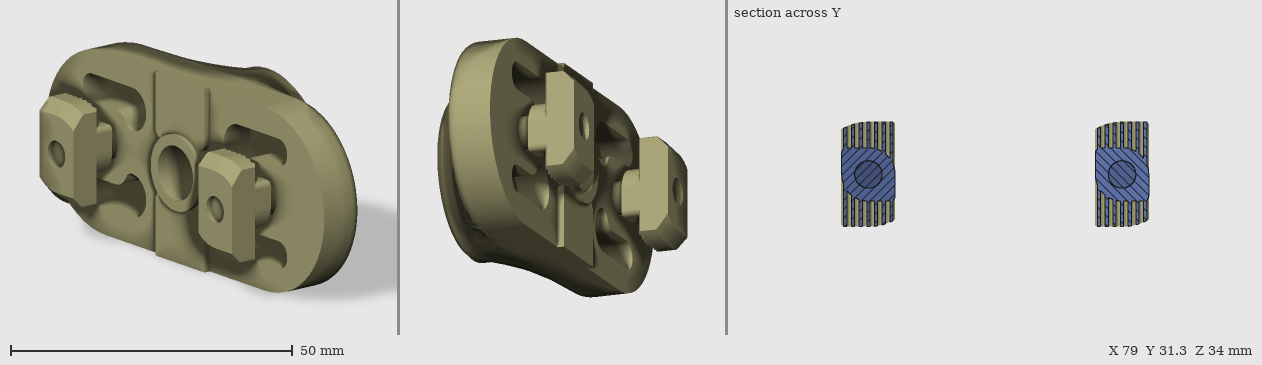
import cadquery as cq
import math

LENGTH = 79.0
WIDTH = 34.0
END_RADIUS = WIDTH / 2
SCREW_X = LENGTH / 2 - END_RADIUS

BASE_HEIGHT = 8.0
COLLAR_DIAMETER = 31.0
COLLAR_RADIUS = COLLAR_DIAMETER / 2
COLLAR_TOP = 20.1
COLLAR_CHAMFER = 1.1
CONE_TOP = 17.0
WAIST_SHARE = 0.6
WAIST_DRAW_IN = 0.4
RIM_FILLET = 2.0
COLLAR_FILLET = 0.95

BORE_DIAMETER = 10.0
SPIGOT_DIAMETER = 14.0
SPIGOT_HEIGHT = 2.2
KEY_HEIGHT = 1.2
KEY_START = 5.05
KEY_CORNER_RADIUS = 1.65

POCKET_DEPTH = 6.0
POCKET_OUTER_Z = 12.0
POCKET_SMALL_RADIUS = 2.5
POCKET_SMALL_X = 3.95
POCKET_LARGE_RADIUS = 4.0
POCKET_LARGE_X = 7.4
BEND_OUTER_RADIUS = 3.5
BEND_INNER_RADIUS = 1.9

SCREW_DIAMETER = 6.0
SCREW_HOLE_DIAMETER = 6.5
SCREW_TIP_DIAMETER = 5.0
SCREW_TIP_Y = -10.0
HEAD_DIAMETER = 10.0
HEAD_HEIGHT = 6.0
HEAD_SEAT = 5.5
HEAD_HOLE_DIAMETER = 11.0

NUT_WIDTH = 9.55
NUT_LENGTH = 18.65
NUT_TOP = -2.4
WING_TOP = -5.45
NUT_BOTTOM = -11.2
WING_CHAMFER = 2.2
WING_SHARP_FILLET = 0.5
NECK_SMALL_FILLET = 1.0
TOOTH_COUNT = 7
TOOTH_DEPTH = 0.5


def plane_at(y):
    """Workplane parallel to XZ at height y; extruding by a negative length goes toward +Y."""
    return cq.Workplane("XZ", origin=(0, y, 0))


def cylinder(x, diameter, y_low, y_high):
    return plane_at(y_low).center(x, 0).circle(diameter / 2).extrude(y_low - y_high)


def blend(start, end, share):
    return start + (end - start) * share


def cone_section(y, corner_x, corner_z, end_x, side_z):
    """Closed outline of two side arcs and two end arcs that meet at (+-corner_x, +-corner_z)."""
    return (
        plane_at(y)
        .moveTo(corner_x, corner_z)
        .threePointArc((0, side_z), (-corner_x, corner_z))
        .threePointArc((-end_x, 0), (-corner_x, -corner_z))
        .threePointArc((0, -side_z), (corner_x, -corner_z))
        .threePointArc((end_x, 0), (corner_x, corner_z))
        .close()
        .val()
    )


def make_cone():
    """Smooth loft from the outline of the base to the circle of the collar, slightly waisted."""
    collar_corner = COLLAR_RADIUS * math.sqrt(0.5)
    foot = plane_at(BASE_HEIGHT).slot2D(LENGTH, WIDTH).val()
    waist = cone_section(
        y=blend(BASE_HEIGHT, CONE_TOP, WAIST_SHARE),
        corner_x=blend(SCREW_X, collar_corner, WAIST_SHARE),
        corner_z=blend(END_RADIUS, collar_corner, WAIST_SHARE),
        end_x=blend(LENGTH / 2, COLLAR_RADIUS, WAIST_SHARE) - WAIST_DRAW_IN,
        side_z=blend(END_RADIUS, COLLAR_RADIUS, WAIST_SHARE),
    )
    top = cone_section(CONE_TOP, collar_corner, collar_corner, COLLAR_RADIUS, COLLAR_RADIUS)
    return cq.Workplane(cq.Solid.makeLoft([foot, waist, top]))


def edges_at(y):
    """Selector for the edges that lie in the plane at height y."""
    margin = 0.04
    return cq.selectors.BoxSelector(
        (-LENGTH, y - margin, -LENGTH), (LENGTH, y + margin, LENGTH), boundingbox=True
    )


def make_body():
    """Base plate, cone and collar, with the rim and the foot of the collar rounded."""
    base = plane_at(0).slot2D(LENGTH, WIDTH).extrude(-BASE_HEIGHT)
    collar = cylinder(0, COLLAR_DIAMETER, CONE_TOP, COLLAR_TOP)
    collar = collar.faces(">Y").chamfer(COLLAR_CHAMFER)
    body = base.union(make_cone()).union(collar)
    body = body.edges(edges_at(BASE_HEIGHT)).fillet(RIM_FILLET)
    return body.edges(edges_at(CONE_TOP)).fillet(COLLAR_FILLET)


def make_key():
    """Two raised pads on the mounting face that reach from the spigot to the long sides."""
    length = END_RADIUS - KEY_START
    key = (
        plane_at(0)
        .center(0, KEY_START + length / 2)
        .rect(SPIGOT_DIAMETER, length)
        .extrude(KEY_HEIGHT)
        .edges("|Y and <Z")
        .fillet(KEY_CORNER_RADIUS)
    )
    return key.union(key.mirror("XY"))


def make_pocket():
    """Pocket at the upper left: a slot that swells through an S bend into a lobe toward the bore."""
    small_z = POCKET_OUTER_Z - POCKET_SMALL_RADIUS
    inner_z = small_z - POCKET_SMALL_RADIUS
    large_z = POCKET_OUTER_Z - POCKET_LARGE_RADIUS
    lobe_z = large_z - POCKET_LARGE_RADIUS

    bend_angle = math.acos(1 - (inner_z - lobe_z) / (BEND_OUTER_RADIUS + BEND_INNER_RADIUS))
    bend_start_x = POCKET_LARGE_X - (BEND_OUTER_RADIUS + BEND_INNER_RADIUS) * math.sin(bend_angle)

    def on_inner_arc(angle):
        return (
            POCKET_LARGE_X - BEND_INNER_RADIUS * math.sin(angle),
            lobe_z + BEND_INNER_RADIUS * (1 - math.cos(angle)),
        )

    def on_outer_arc(angle):
        return (
            bend_start_x + BEND_OUTER_RADIUS * math.sin(angle),
            inner_z - BEND_OUTER_RADIUS * (1 - math.cos(angle)),
        )

    return (
        plane_at(0)
        .center(-SCREW_X, 0)
        .moveTo(-POCKET_SMALL_X, inner_z)
        .threePointArc((-POCKET_SMALL_X - POCKET_SMALL_RADIUS, small_z), (-POCKET_SMALL_X, POCKET_OUTER_Z))
        .lineTo(POCKET_LARGE_X, POCKET_OUTER_Z)
        .threePointArc((POCKET_LARGE_X + POCKET_LARGE_RADIUS, large_z), (POCKET_LARGE_X, lobe_z))
        .threePointArc(on_inner_arc(bend_angle / 2), on_inner_arc(bend_angle))
        .threePointArc(on_outer_arc(bend_angle / 2), (bend_start_x, inner_z))
        .close()
        .extrude(-POCKET_DEPTH)
    )


def make_housing():
    housing = make_body()
    housing = housing.union(make_key())
    housing = housing.union(cylinder(0, SPIGOT_DIAMETER, -SPIGOT_HEIGHT, 0))
    housing = housing.cut(cylinder(0, BORE_DIAMETER, -SPIGOT_HEIGHT, COLLAR_TOP))
    left_pocket = make_pocket()
    left_pockets = left_pocket.union(left_pocket.mirror("XY"))
    housing = housing.cut(left_pockets).cut(left_pockets.mirror("YZ"))
    for x in (-SCREW_X, SCREW_X):
        housing = housing.cut(cylinder(x, SCREW_HOLE_DIAMETER, 0, HEAD_SEAT))
        housing = housing.cut(cylinder(x, HEAD_HOLE_DIAMETER, HEAD_SEAT, COLLAR_TOP))
    return housing


def make_screw(x):
    """Headed screw whose thinner tip fills the hole of its nut."""
    head = cylinder(x, HEAD_DIAMETER, HEAD_SEAT, HEAD_SEAT + HEAD_HEIGHT)
    shank = cylinder(x, SCREW_DIAMETER, NUT_TOP, HEAD_SEAT)
    tip = cylinder(x, SCREW_TIP_DIAMETER, SCREW_TIP_Y, NUT_TOP)
    return head.union(shank).union(tip)


def make_wings():
    """Bar with two opposite corners rounded so that the nut can turn into its slot."""
    height = WING_TOP - NUT_BOTTOM
    half_width = NUT_WIDTH / 2
    blank = cylinder(0, NUT_LENGTH, NUT_BOTTOM, WING_TOP).faces("<Y").chamfer(WING_CHAMFER)
    block = (
        plane_at(NUT_BOTTOM)
        .rect(NUT_WIDTH, NUT_LENGTH)
        .extrude(-height)
        .faces("<Y")
        .edges("|X")
        .chamfer(WING_CHAMFER)
    )
    for side in (-1, 1):
        square_corner = (
            plane_at(NUT_BOTTOM)
            .center(side * half_width / 2, -side * NUT_LENGTH / 4)
            .rect(half_width, NUT_LENGTH / 2)
            .extrude(-height)
        )
        blank = blank.union(square_corner)
    wings = block.intersect(blank)
    return wings.edges("|Y and (<(1, 0, -1) or >(1, 0, -1))").fillet(WING_SHARP_FILLET)


def make_tooth_grooves():
    """V grooves along Z across the gripping face of the wings."""
    pitch = NUT_WIDTH / TOOTH_COUNT
    grooves = cq.Workplane()
    for index in range(TOOTH_COUNT + 1):
        valley_x = index * pitch - NUT_WIDTH / 2
        groove = (
            cq.Workplane("XY", origin=(0, 0, -NUT_LENGTH / 2))
            .moveTo(valley_x - pitch / 2, WING_TOP)
            .lineTo(valley_x, WING_TOP - TOOTH_DEPTH)
            .lineTo(valley_x + pitch / 2, WING_TOP)
            .close()
            .extrude(NUT_LENGTH)
        )
        grooves = grooves.add(groove)
    return grooves.combine()


def make_neck():
    """Square neck with two opposite corners fully rounded and the other two slightly rounded."""
    half = NUT_WIDTH / 2
    diagonal = half * math.sqrt(0.5)
    neck_low = WING_TOP - TOOTH_DEPTH
    return (
        plane_at(neck_low)
        .moveTo(-half, 0)
        .threePointArc((-diagonal, diagonal), (0, half))
        .lineTo(half, half)
        .lineTo(half, 0)
        .threePointArc((diagonal, -diagonal), (0, -half))
        .lineTo(-half, -half)
        .close()
        .extrude(neck_low - NUT_TOP)
        .edges("(<X and <Z) or (>X and >Z)")
        .fillet(NECK_SMALL_FILLET)
    )


def make_nut(x):
    nut = make_wings().cut(make_tooth_grooves()).union(make_neck())
    nut = nut.cut(cylinder(0, SCREW_TIP_DIAMETER, NUT_BOTTOM, NUT_TOP))
    return nut.translate((x, 0, 0))


housing = make_housing()
screws = [make_screw(x) for x in (-SCREW_X, SCREW_X)]
nuts = [make_nut(x) for x in (-SCREW_X, SCREW_X)]

result = cq.Compound.makeCompound(
    [housing.val(), *[screw.val() for screw in screws], *[nut.val() for nut in nuts]]
)